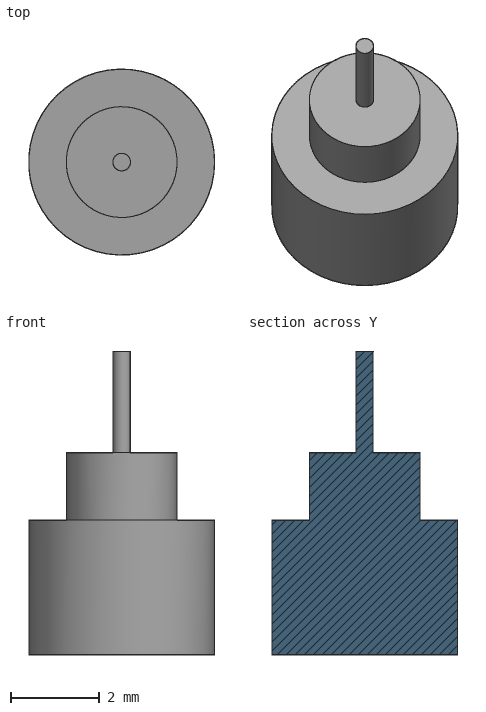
import cadquery as cq

total_height = 6.85
base_diameter = 4.2
base_height = 3.04
collar_diameter = 2.5
collar_height = base_height / 2
pin_diameter = 0.4
pin_length = total_height - base_height - collar_height


def add_cylinder(body, diameter, height):
    """Stack a coaxial cylinder on the top face of the body."""
    return body.faces(">Z").workplane().circle(diameter / 2).extrude(height)


base = cq.Workplane("XY").circle(base_diameter / 2).extrude(base_height)
stepped_body = add_cylinder(base, collar_diameter, collar_height)
result = add_cylinder(stepped_body, pin_diameter, pin_length)